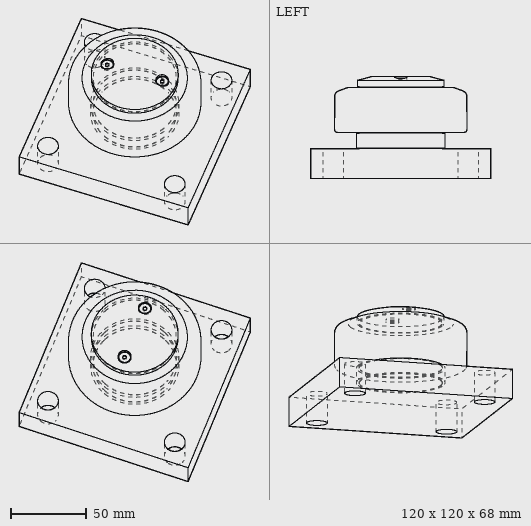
import cadquery as cq

plate_side = 120.0
plate_thickness = 20.0
mount_hole_diameter = 13.8
mount_hole_pitch = 90.0

neck_diameter = 59.0
neck_groove_diameter = 55.5

groove_height = 0.4

roller_diameter = 88.3
roller_bottom = 30.7
roller_top = 60.8
roller_bottom_fillet = 2.0
roller_top_fillet = 4.2
bevel_inner_diameter = 70.2
bevel_drop = 3.4

cap_diameter = 58.0
cap_groove_diameter = 55.3
cap_top = 68.0
cap_face_diameter = 39.0
cap_bevel_drop = 2.5

screw_pitch = cap_face_diameter
screw_recess_diameter = 8.6
screw_recess_depth = 1.8
screw_head_diameter = 7.8
screw_head_height = 0.5
socket_corner_diameter = 2.8
socket_depth = 1.0


def disc(diameter, bottom, top):
    """Cylinder about the Z axis between two heights."""
    return cq.Workplane("XY").workplane(offset=bottom).circle(diameter / 2).extrude(top - bottom)


def bevelled_disc(diameter, bottom, top, face_diameter, drop):
    """Turned disc whose top slopes from a flat face down to the side."""
    profile = [
        (0, bottom),
        (diameter / 2, bottom),
        (diameter / 2, top - drop),
        (face_diameter / 2, top),
        (0, top),
    ]
    return cq.Workplane("XZ").polyline(profile).close().revolve(360, (0, 0, 0), (0, 1, 0))


def make_plate():
    plate = cq.Workplane("XY").box(plate_side, plate_side, plate_thickness, centered=(True, True, False))
    return (
        plate.faces(">Z").workplane()
        .rect(mount_hole_pitch, mount_hole_pitch, forConstruction=True)
        .vertices().hole(mount_hole_diameter)
    )


def make_neck():
    core = disc(neck_groove_diameter, plate_thickness, roller_bottom)
    body = disc(neck_diameter, plate_thickness + groove_height, roller_bottom - groove_height)
    return core.union(body)


def make_roller():
    roller = bevelled_disc(roller_diameter, roller_bottom, roller_top, bevel_inner_diameter, bevel_drop)
    roller = roller.edges("<Z").fillet(roller_bottom_fillet)
    bevel_edge = cq.selectors.RadiusNthSelector(-1)
    upper_half = cq.selectors.BoxSelector(
        (-plate_side, -plate_side, roller_top - 2 * bevel_drop),
        (plate_side, plate_side, roller_top),
    )
    return roller.edges("%CIRCLE").edges(upper_half).edges(bevel_edge).fillet(roller_top_fillet)


def make_cap():
    cap_bottom = roller_top + groove_height
    cap = bevelled_disc(cap_diameter, cap_bottom, cap_top, cap_face_diameter, cap_bevel_drop)
    cap = cap.union(disc(cap_groove_diameter, roller_top, cap_bottom))
    recess_floor = cap_top - screw_recess_depth
    head_top = recess_floor + screw_head_height
    recess = disc(screw_recess_diameter, recess_floor, cap_top)
    head = disc(screw_head_diameter, recess_floor, head_top)
    socket = (
        cq.Workplane("XY").workplane(offset=head_top)
        .polygon(6, socket_corner_diameter).extrude(-socket_depth)
    )
    for x in (-screw_pitch / 2, screw_pitch / 2):
        offset = (x, 0, 0)
        cap = cap.cut(recess.translate(offset))
        cap = cap.union(head.translate(offset))
        cap = cap.cut(socket.translate(offset))
    return cap


result = make_plate().union(make_neck()).union(make_roller()).union(make_cap())